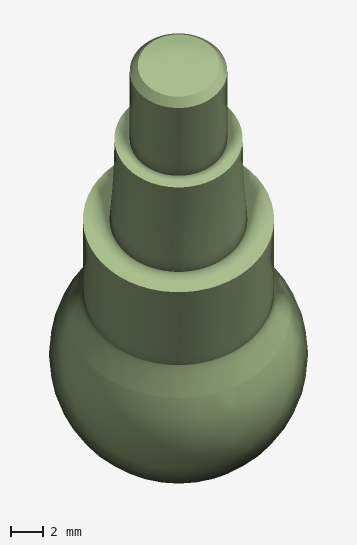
import cadquery as cq
import math

total_length = 35.6

ball_diameter = 16.0
cone_base_z = 12.0
collar_diameter = 11.8
collar_base_z = 13.92
collar_length = 6.98

neck_top_diameter = 7.9
neck_length = 7.73
neck_flare_radius = 99.68

stud_diameter = 6.0
stud_chamfer = 0.5

ball_radius = ball_diameter / 2
cone_base_rise = cone_base_z - ball_radius
cone_base_radius = math.sqrt(ball_radius**2 - cone_base_rise**2)
collar_radius = collar_diameter / 2
collar_top_z = collar_base_z + collar_length
neck_top_z = collar_top_z + neck_length
neck_top_radius = neck_top_diameter / 2
stud_length = total_length - neck_top_z


def neck_radius_at(drop):
    """Radius of the flared neck at a given distance below its top."""
    return neck_top_radius + neck_flare_radius - math.sqrt(neck_flare_radius**2 - drop**2)


def make_handle():
    """Ball, cone, collar and flared neck, revolved as one solid."""
    return (
        cq.Workplane("XZ")
        .moveTo(0, 0)
        .threePointArc((ball_radius, ball_radius), (cone_base_radius, cone_base_z))
        .lineTo(collar_radius, collar_base_z)
        .lineTo(collar_radius, collar_top_z)
        .lineTo(neck_radius_at(neck_length), collar_top_z)
        .threePointArc(
            (neck_radius_at(neck_length / 2), neck_top_z - neck_length / 2),
            (neck_top_radius, neck_top_z),
        )
        .lineTo(0, neck_top_z)
        .close()
        .revolve(360, (0, 0, 0), (0, 1, 0))
    )


def make_stud():
    """Plain stud standing on the neck, chamfered at its free end."""
    return (
        cq.Workplane("XY")
        .workplane(offset=neck_top_z)
        .circle(stud_diameter / 2)
        .extrude(stud_length)
        .faces(">Z")
        .chamfer(stud_chamfer)
    )


handle = make_handle()
stud = make_stud()
result = cq.Compound.makeCompound([handle.val(), stud.val()])